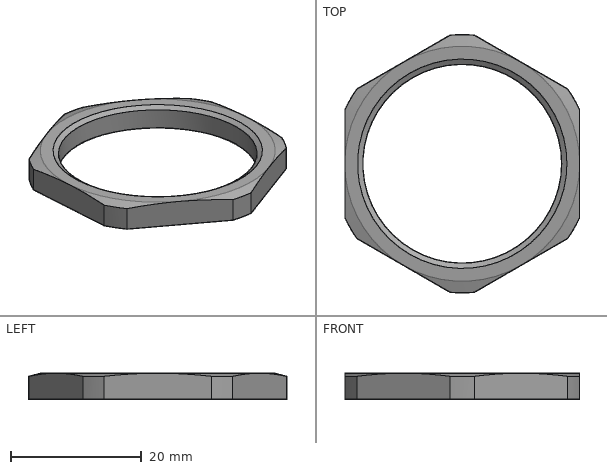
import cadquery as cq
import math

across_flats = 36.0
corner_diameter = 39.6
thickness = 4.0
bore_diameter = 30.4
bore_chamfer_diameter = 32.08
bore_chamfer_angle = 30.0
corner_bevel_angle = 15.0

corner_radius = corner_diameter / 2
bevel_start_radius = across_flats / 2
bevel_drop = (corner_radius - bevel_start_radius) * math.tan(math.radians(corner_bevel_angle))
bore_chamfer_width = (bore_chamfer_diameter - bore_diameter) / 2
bore_chamfer_depth = bore_chamfer_width * math.tan(math.radians(bore_chamfer_angle))


def hexagon_prism():
    across_corners = across_flats / math.cos(math.pi / 6)
    prism = cq.Workplane("XY").polygon(6, across_corners).extrude(thickness)
    return prism.rotate((0, 0, 0), (0, 0, 1), 30)


def bevelled_disc():
    """Disc whose top slopes down from the flats' inscribed circle to its rim."""
    half_profile = (
        cq.Workplane("XZ")
        .lineTo(corner_radius, 0)
        .lineTo(corner_radius, thickness - bevel_drop)
        .lineTo(bevel_start_radius, thickness)
        .lineTo(0, thickness)
        .close()
    )
    return half_profile.revolve(360, (0, 0, 0), (0, 1, 0))


def chamfered_bore():
    """Bore cutter that widens conically towards both end faces."""
    bore = cq.Workplane("XY").circle(bore_diameter / 2).extrude(thickness)
    mouth_radius = bore_chamfer_diameter / 2
    bottom_mouth = cq.Workplane(
        cq.Solid.makeCone(mouth_radius, bore_diameter / 2, bore_chamfer_depth)
    )
    top_mouth = bottom_mouth.mirror("XY").translate((0, 0, thickness))
    return bore.union(bottom_mouth).union(top_mouth)


result = hexagon_prism().intersect(bevelled_disc()).cut(chamfered_bore())